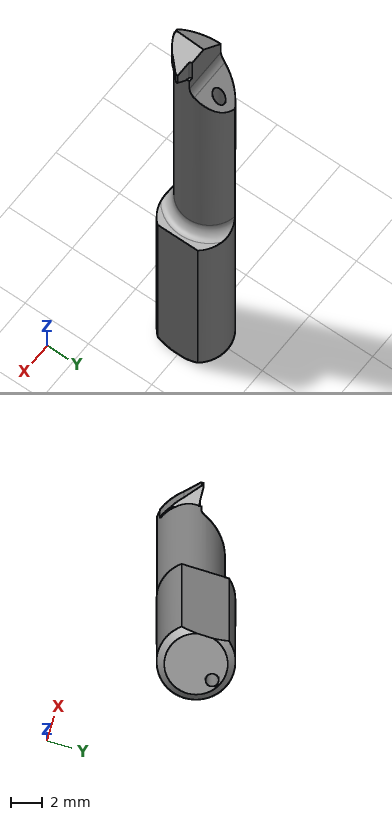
import cadquery as cq
import math

length = 35.0
shank_radius = 2.502
flat_x = 1.942
base_chamfer = 0.5

shoulder_z = 14.7
neck_radius = 2.28
neck_center_x = -1.45
shoulder_fillet = 0.85

hole_x = -0.7
hole_y = 1.3
hole_diameter = 0.85

chip_face_y = 0.1
relief_low_y = 2.3
relief_low_z = 29.05
relief_high_z = 31.68
relief_fillet = 1.4

head_corner_x = -0.65
head_bottom_z = 33.08
tooth_tip_x = 1.9
tooth_top_x = 1.82
tooth_land_z = 34.05
tooth_root_x = tooth_tip_x - (tooth_land_z - head_bottom_z)
flank_start_y = -2.2
flank_mid = (0.2, -1.75)
flank_corner = (0.9, -1.12)
flank_end_y = -0.18
underside_clearance_angle = 15.0
top_relief_angle = 4.0

groove_start_x = 0.55
groove_y = -0.07
groove_corner_radius = 0.15

clearance = 7.0


def round_shank():
    shank = cq.Workplane("XY").circle(shank_radius).extrude(length)
    shank = shank.faces("<Z").chamfer(base_chamfer)
    flat_cut = cq.Workplane("XY").box(clearance, clearance, length, centered=(False, True, False))
    return shank.cut(flat_cut.translate((flat_x, 0, 0)))


def neck_envelope():
    """Revolved profile that flares from the neck into the shoulder."""
    flare_radius = neck_radius + shoulder_fillet
    fillet_top_z = shoulder_z + shoulder_fillet
    arc_inset = shoulder_fillet * (1 - math.sqrt(0.5))
    profile = (
        cq.Workplane("XZ")
        .moveTo(0, 0)
        .lineTo(clearance, 0)
        .lineTo(clearance, shoulder_z)
        .lineTo(flare_radius, shoulder_z)
        .threePointArc(
            (neck_radius + arc_inset, shoulder_z + arc_inset),
            (neck_radius, fillet_top_z),
        )
        .lineTo(neck_radius, length)
        .lineTo(0, length)
        .close()
    )
    return profile.revolve(360, (0, 0, 0), (0, 1, 0)).translate((neck_center_x, 0, 0))


def tooth():
    """Curved flank in plan, with a 45 degree underside tilted to give clearance."""
    plan = (
        cq.Workplane("XY")
        .workplane(offset=head_bottom_z)
        .moveTo(head_corner_x, chip_face_y)
        .lineTo(head_corner_x, flank_start_y)
        .threePointArc(flank_mid, flank_corner)
        .lineTo(tooth_tip_x, flank_end_y)
        .lineTo(tooth_tip_x, chip_face_y)
        .close()
        .extrude(length - head_bottom_z)
    )
    underside_cut = (
        cq.Workplane("XZ", origin=(0, clearance, 0))
        .moveTo(tooth_root_x - clearance, head_bottom_z - clearance)
        .lineTo(tooth_tip_x + clearance, tooth_land_z + clearance)
        .lineTo(tooth_tip_x + clearance, head_bottom_z - clearance)
        .close()
        .extrude(2 * clearance)
        .rotate(
            (tooth_root_x, chip_face_y, head_bottom_z),
            (tooth_tip_x, chip_face_y, tooth_land_z),
            -underside_clearance_angle,
        )
    )
    tip_cut = (
        cq.Workplane("XZ")
        .moveTo(tooth_tip_x, tooth_land_z)
        .lineTo(tooth_top_x, length)
        .lineTo(tooth_tip_x, length)
        .close()
        .extrude(clearance, both=True)
    )
    return plan.cut(underside_cut).cut(tip_cut)


def chip_groove():
    groove = cq.Workplane("XY").box(
        clearance, chip_face_y - groove_y, length - head_bottom_z, centered=False
    )
    groove = groove.edges("|Z and <X and <Y").fillet(groove_corner_radius)
    return groove.translate((groove_start_x, groove_y, head_bottom_z))


def chip_face_cut():
    """Removes the +Y half of the head, running out down a slope."""
    slope = (relief_high_z - relief_low_z) / (relief_low_y - chip_face_y)
    outer_y = relief_low_y + clearance
    cut = (
        cq.Workplane("YZ")
        .moveTo(chip_face_y, length + clearance)
        .lineTo(chip_face_y, relief_high_z)
        .lineTo(outer_y, relief_high_z - slope * (outer_y - chip_face_y))
        .lineTo(outer_y, length + clearance)
        .close()
        .extrude(clearance, both=True)
    )
    corner = cq.selectors.NearestToPointSelector((0, chip_face_y, relief_high_z))
    return cut.edges(corner).fillet(relief_fillet)


def head_bevel_cut():
    """45 degree bevel on the -X side of the head."""
    return (
        cq.Workplane("XZ")
        .moveTo(head_corner_x, length)
        .lineTo(head_corner_x - clearance, length - clearance)
        .lineTo(head_corner_x - clearance, length)
        .close()
        .extrude(clearance, both=True)
    )


def top_relief_cut():
    """Top face falls away from the chip face toward -Y."""
    drop = clearance * math.tan(math.radians(top_relief_angle))
    return (
        cq.Workplane("YZ")
        .moveTo(chip_face_y, length)
        .lineTo(chip_face_y - clearance, length)
        .lineTo(chip_face_y - clearance, length - drop)
        .close()
        .extrude(clearance, both=True)
    )


def coolant_hole():
    return cq.Workplane("XY").center(hole_x, hole_y).circle(hole_diameter / 2).extrude(length)


result = round_shank().intersect(neck_envelope()).union(tooth())
result = result.cut(chip_face_cut()).cut(head_bevel_cut()).cut(top_relief_cut())
result = result.cut(chip_groove()).cut(coolant_hole())